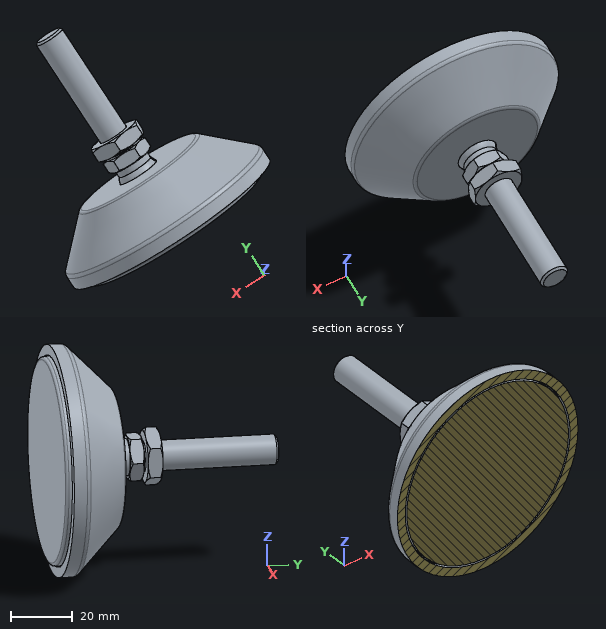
import cadquery as cq
import math


base_radius = 38.0
base_bottom = 2.0
rim_top = 7.1
base_top = 22.05
base_top_radius = 22.8
rim_blend = 1.9
top_blend = 1.8

pad_radius = 34.05
pad_edge_fillet = 1.0
recess_radius = 34.5
pad_top = 3.95

ball_radius = 7.3
ball_center = 20.1
collar_radius = 6.1
hex_bottom = 26.45
hex_top = 31.0
hex_across_flats = 14.05
neck_radius = 4.55
neck_top = 31.55
shank_bottom = 32.7
shank_radius = 5.0
stud_top = 75.85
shank_chamfer = 0.75

nut_bottom = 31.9
nut_thickness = 4.95
nut_across_flats = 17.0

corner_chamfer_angle = math.radians(30)


def plane_at(height):
    """XZ plane at a height along Y, with its normal along +Y and local x along X."""
    return cq.Workplane(cq.Plane(origin=(0, height, 0), xDir=(1, 0, 0), normal=(0, 1, 0)))


def cylinder(bottom, top, radius):
    return plane_at(bottom).circle(radius).extrude(top - bottom)


def chamfered_hexagon(bottom, thickness, across_flats, first_corner_angle):
    """Hexagonal prism whose corners are turned down by a cone at both ends."""
    corner_radius = across_flats / math.sqrt(3)
    face_radius = across_flats / 2
    drop = (corner_radius - face_radius) * math.tan(corner_chamfer_angle)
    top = bottom + thickness
    prism = (
        plane_at(bottom)
        .transformed(rotate=(0, 0, first_corner_angle))
        .polygon(6, 2 * corner_radius)
        .extrude(thickness)
    )
    turned_blank = (
        cq.Workplane("XY")
        .moveTo(0, bottom)
        .lineTo(face_radius, bottom)
        .lineTo(corner_radius, bottom + drop)
        .lineTo(corner_radius, top - drop)
        .lineTo(face_radius, top)
        .lineTo(0, top)
        .close()
        .revolve(360, (0, 0, 0), (0, 1, 0))
    )
    return prism.intersect(turned_blank)


def make_ball():
    return cq.Workplane("XY").sphere(ball_radius).translate((0, ball_center, 0))


def make_pad():
    pad = cylinder(0, pad_top, pad_radius)
    return pad.faces("<Y").edges().fillet(pad_edge_fillet)


def make_base():
    body = (
        cq.Workplane("XY")
        .moveTo(0, base_bottom)
        .lineTo(base_radius, base_bottom)
        .lineTo(base_radius, rim_top)
        .lineTo(base_top_radius, base_top)
        .lineTo(0, base_top)
        .close()
        .revolve(360, (0, 0, 0), (0, 1, 0))
    )
    body = body.faces(">Y").edges().fillet(top_blend)
    rim_edge = cq.selectors.BoxSelector(
        (-base_radius - 0.75, rim_top - 0.75, -base_radius - 0.75),
        (base_radius + 0.75, rim_top + 0.75, base_radius + 0.75),
        boundingbox=True,
    )
    body = body.edges(rim_edge).fillet(rim_blend)
    recess = cylinder(base_bottom, pad_top, recess_radius)
    return body.cut(recess).cut(make_ball())


def make_stud():
    collar = cylinder(ball_center, hex_bottom, collar_radius)
    hexagon = chamfered_hexagon(hex_bottom, hex_top - hex_bottom, hex_across_flats, 0)
    neck = cylinder(hex_top, neck_top, neck_radius)
    taper = (
        plane_at(neck_top)
        .circle(neck_radius)
        .workplane(offset=shank_bottom - neck_top)
        .circle(shank_radius)
        .loft(ruled=True)
    )
    shank = cylinder(shank_bottom, stud_top, shank_radius).faces(">Y").edges().chamfer(shank_chamfer)
    return make_ball().union(collar).union(hexagon).union(neck).union(taper).union(shank)


def make_nut():
    nut = chamfered_hexagon(nut_bottom, nut_thickness, nut_across_flats, 30)
    return nut.cut(cylinder(nut_bottom, nut_bottom + nut_thickness, shank_radius))


base = make_base()
pad = make_pad()
stud = make_stud()
nut = make_nut()

result = cq.Compound.makeCompound([base.val(), pad.val(), stud.val(), nut.val()])